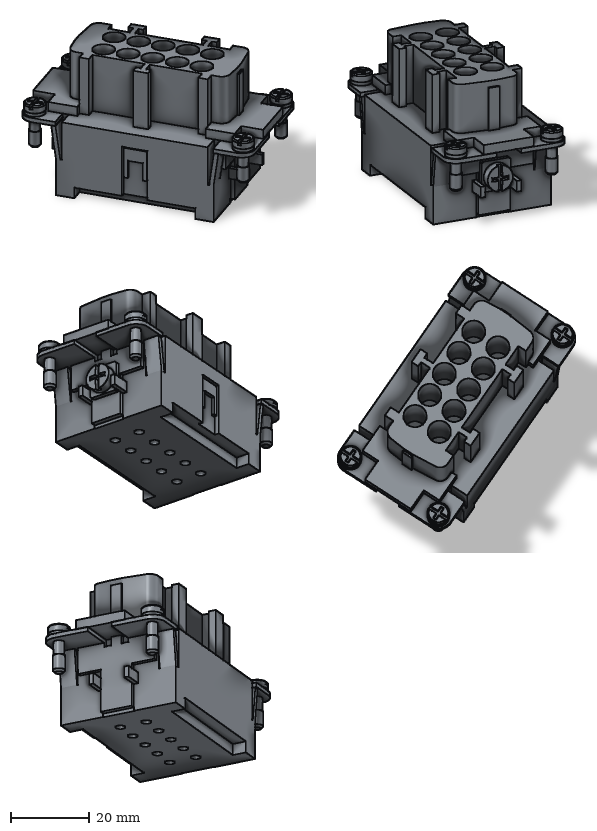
import cadquery as cq

deck_z = 21.05
top_z = 37.0
pad_z = 10.35

body_x = 43.1
body_y = 33.2
foot_gap_x = 33.1
foot_gap_z = 3.05
foot_gap_depth = 3.8

boss_x = 22.75
boss_stem_y = 8.95
boss_head_y = 22.05
boss_bottom_z = 1.0
boss_head_z = 12.7

plate_end_x = 31.7
plate_y = 34.0
plate_t = 1.2
plate_corner_r = 3.6
plate_notch_y = 7.0
plate_bottom_z = deck_z - plate_t

pocket_x = 19.9
pocket_y = 11.7
leg_y = 12.0
leg_top_x = 21.7
leg_foot_x = 20.35

flange_z = 23.65
flange_end_x = 31.45
flange_step_x = 25.5
flange_inner_x = 17.55
flange_end_y = 14.1
flange_y = 23.6

plug_back_y = 10.2
plug_front_y = -7.7
plug_mid_x = 22.2
plug_back_x = 21.35
plug_front_x = 21.6
plug_corner_r = 2.4
step_x = 16.6
step_y = 7.85
tab_x = 14.95
tab_y = -10.2
rib_y = 3.0
rib_top_z = 35.3

rail_stem = 1.45
rail_head = 4.1
rail_neck_y = 10.4
rail_outer_y = 12.4
back_rail_x = 10.0

cavity_columns = 5
cavity_pitch = 6.7
cavity_row_y = 3.75
cavity_d = 5.9
wire_d = 2.55
cavity_floor_z = deck_z

screw_x = 28.45
screw_y = 13.5

terminal_z = 11.6


def box(x0, x1, y0, y1, z0, z1):
    """Box between two opposite corners."""
    return cq.Workplane("XY").box(x1 - x0, y1 - y0, z1 - z0, centered=False).translate((x0, y0, z0))


def centred_box(x0, x1, width_y, z0, z1):
    """Box centred on y = 0."""
    return box(x0, x1, -width_y / 2, width_y / 2, z0, z1)


def both_ends(shape):
    """Shape together with its mirror image at the other X end."""
    return shape.union(shape.mirror("YZ"))


def both_sides(shape):
    """Shape together with its mirror image at the other Y side."""
    return shape.union(shape.mirror("XZ"))


def housing():
    """Main block with foot gaps, corner pockets and T-shaped end bosses on shallow seats."""
    body = centred_box(-body_x / 2, body_x / 2, body_y, 0, deck_z)
    foot_gap_inner_y = body_y / 2 - foot_gap_depth
    foot_gap = box(-foot_gap_x / 2, foot_gap_x / 2, foot_gap_inner_y, body_y / 2, 0, foot_gap_z)
    body = body.cut(both_sides(foot_gap))
    pocket = box(-body_x / 2, -pocket_x, pocket_y, body_y / 2, pad_z, deck_z)
    body = body.cut(both_ends(both_sides(pocket)))
    seat_depth = 0.2
    seat = centred_box(-body_x / 2, seat_depth - body_x / 2, boss_stem_y, 0, boss_bottom_z)
    body = body.cut(both_ends(seat))

    boss = centred_box(-boss_x, -body_x / 2, boss_stem_y, boss_bottom_z, deck_z)
    boss = boss.union(centred_box(-boss_x, -body_x / 2, boss_head_y, boss_head_z, deck_z))
    notch_inner_y = 1.45
    notch_z = 18.75
    notch = box(-boss_x, -body_x / 2, notch_inner_y, plate_notch_y / 2, notch_z, deck_z)
    boss = boss.cut(both_sides(notch))
    return body.union(both_ends(boss))


def end_ears():
    """Thin ears on both sides of each boss stem."""
    ear_end_x = 26.75
    ear_y = 5.7
    ear_bottom_z = 7.35
    ear = box(-ear_end_x, -body_x / 2, boss_stem_y / 2, ear_y, ear_bottom_z, pad_z)
    return both_ends(both_sides(ear))


def latch_pocket():
    """Recess in the -Y face, open to the foot gap below, less the U-shaped latch standing in it."""
    recess_x = 3.5
    recess_top_z = 17.05
    recess_depth = 1.25
    latch_x = 3.1
    latch_top_z = 16.6
    latch_bottom_z = 8.2
    latch_setback = 0.4
    window_x = 2.1
    window_top_z = 13.1
    face_y = -body_y / 2
    floor_y = face_y + recess_depth
    recess = box(-recess_x, recess_x, face_y, floor_y, foot_gap_z, recess_top_z)
    latch = box(-latch_x, latch_x, face_y + latch_setback, floor_y, latch_bottom_z, latch_top_z)
    window = box(-window_x, window_x, face_y, floor_y, latch_bottom_z, window_top_z)
    return recess.cut(latch.cut(window))


def end_plates():
    """Metal plates with rounded outer corners, a notch in the end and slanted legs."""
    plate = centred_box(-plate_end_x, -body_x / 2, plate_y, plate_bottom_z, deck_z)
    plate = plate.edges("|Z and <X").fillet(plate_corner_r)
    plate = plate.cut(centred_box(-plate_end_x, -body_x / 2, plate_notch_y, plate_bottom_z, deck_z))

    leg = (
        cq.Workplane("XZ")
        .polyline([
            (-leg_top_x - plate_t, plate_bottom_z),
            (-leg_top_x, plate_bottom_z),
            (-leg_foot_x, pad_z),
            (-leg_foot_x - plate_t, pad_z),
        ])
        .close()
        .extrude(-(body_y / 2 - leg_y))
        .translate((0, leg_y, 0))
    )
    return both_ends(plate.union(both_sides(leg)))


def flanges():
    """Stepped flange over each plate, reaching in under the plug block."""
    flange = centred_box(-flange_end_x, -flange_inner_x, flange_end_y, deck_z, flange_z)
    flange = flange.union(centred_box(-flange_step_x, -flange_inner_x, flange_y, deck_z, flange_z))
    return both_ends(flange)


def plug():
    """Block with tapered ends, a stepped back, two front tabs and a rib on each end."""
    height = top_z - deck_z
    back_right = (plug_back_x, plug_back_y)
    back_left = (-plug_back_x, plug_back_y)
    front_left = (-plug_front_x, plug_front_y)
    front_right = (plug_front_x, plug_front_y)
    block = (
        cq.Workplane("XY", origin=(0, 0, deck_z))
        .polyline([
            front_right,
            (plug_mid_x, -rib_y / 2),
            (plug_mid_x, rib_y / 2),
            back_right,
            back_left,
            (-plug_mid_x, rib_y / 2),
            (-plug_mid_x, -rib_y / 2),
            front_left,
        ])
        .close()
        .extrude(height)
        .edges("|Z and (>Y or <Y)")
        .fillet(plug_corner_r)
    )
    block = block.cut(box(-step_x, step_x, step_y, plug_back_y, deck_z, top_z))
    tab = box(-flange_inner_x, -tab_x, tab_y, plug_front_y, deck_z, top_z)
    rib = centred_box(-boss_x, -plug_mid_x, rib_y, deck_z, rib_top_z)
    return block.union(both_ends(tab.union(rib)))


def rail(x, wall_y, side):
    """T-shaped guide rail standing on the deck; side is +1 for +Y and -1 for -Y."""
    stem_y = sorted((wall_y, side * rail_neck_y))
    head_y = sorted((side * rail_neck_y, side * rail_outer_y))
    stem = box(x - rail_stem / 2, x + rail_stem / 2, *stem_y, deck_z, top_z)
    head = box(x - rail_head / 2, x + rail_head / 2, *head_y, deck_z, top_z)
    return stem.union(head)


def contact_cavities():
    """Two rows of stepped round holes through the part."""
    def hole_grid(z, diameter, depth):
        return (
            cq.Workplane("XY", origin=(0, 0, z))
            .rarray(cavity_pitch, 2 * cavity_row_y, cavity_columns, 2)
            .circle(diameter / 2)
            .extrude(depth)
        )

    return hole_grid(0, wire_d, top_z).union(hole_grid(cavity_floor_z, cavity_d, top_z - cavity_floor_z))


def cross_slot(long_size, short_size, width, depth):
    """Cross-shaped cutter below z = 0, its long arm along Y."""
    long_arm = cq.Workplane("XY").rect(width, long_size).extrude(-depth)
    return long_arm.union(cq.Workplane("XY").rect(short_size, width).extrude(-depth))


def plate_screw():
    """Cross-slotted screw on the local Z axis, at its height in the part."""
    head_r = 2.85
    washer_r = 2.8
    washer_top_z = 22.0
    head_top_z = 24.0
    head_chamfer = 0.4
    shank_r = 1.4
    thread_r = 1.6
    thread_top_z = 16.1
    thread_bottom_z = 12.1
    tip_z = 11.5
    tip_r = 1.0
    screw = (
        cq.Workplane("XZ")
        .polyline([
            (0, tip_z),
            (tip_r, tip_z),
            (thread_r, thread_bottom_z),
            (thread_r, thread_top_z),
            (shank_r, thread_top_z),
            (shank_r, deck_z),
            (washer_r, deck_z),
            (washer_r, washer_top_z),
            (head_r, washer_top_z),
            (head_r, head_top_z - head_chamfer),
            (head_r - head_chamfer, head_top_z),
            (0, head_top_z),
        ])
        .close()
        .revolve(360, (0, 0, 0), (0, 1, 0))
    )
    slot = cross_slot(long_size=2 * head_r, short_size=3.7, width=0.8, depth=1.0)
    return screw.cut(slot.translate((0, 0, head_top_z)))


def earth_terminal():
    """Square washer and cross-slotted screw head on the -X boss."""
    washer_y = 8.2
    washer_z = 8.4
    washer_centre_z = 11.7
    washer_t = 1.2
    washer_chamfer = 0.45
    head_r = 3.55
    head_t = 2.5
    dome_h = 0.25
    washer = (
        cq.Workplane("XY")
        .box(washer_t, washer_y, washer_z)
        .edges("|X")
        .chamfer(washer_chamfer)
        .translate((-boss_x - washer_t / 2, 0, washer_centre_z))
    )
    head = cq.Workplane("XY").circle(head_r).extrude(head_t + dome_h)
    dome_r = (head_r**2 + dome_h**2) / (2 * dome_h)
    dome = cq.Workplane("XY").sphere(dome_r).translate((0, 0, head_t + dome_h - dome_r))
    slot = cross_slot(long_size=2 * head_r, short_size=4.7, width=1.0, depth=1.25)
    head = head.intersect(dome).cut(slot.translate((0, 0, head_t + dome_h)))
    head = head.rotate((0, 0, 0), (0, 0, 1), 90).rotate((0, 0, 0), (0, 1, 0), -90)
    return washer.union(head.translate((-boss_x - washer_t, 0, terminal_z)))


result = housing().cut(latch_pocket())
for addition in (end_ears(), end_plates(), flanges(), plug(), earth_terminal()):
    result = result.union(addition)

for x in (-back_rail_x, back_rail_x):
    result = result.union(rail(x, step_y, 1))
result = result.union(rail(0, plug_front_y, -1))
result = result.cut(contact_cavities())

for x in (-screw_x, screw_x):
    for y in (-screw_y, screw_y):
        result = result.union(plate_screw().translate((x, y, 0)))